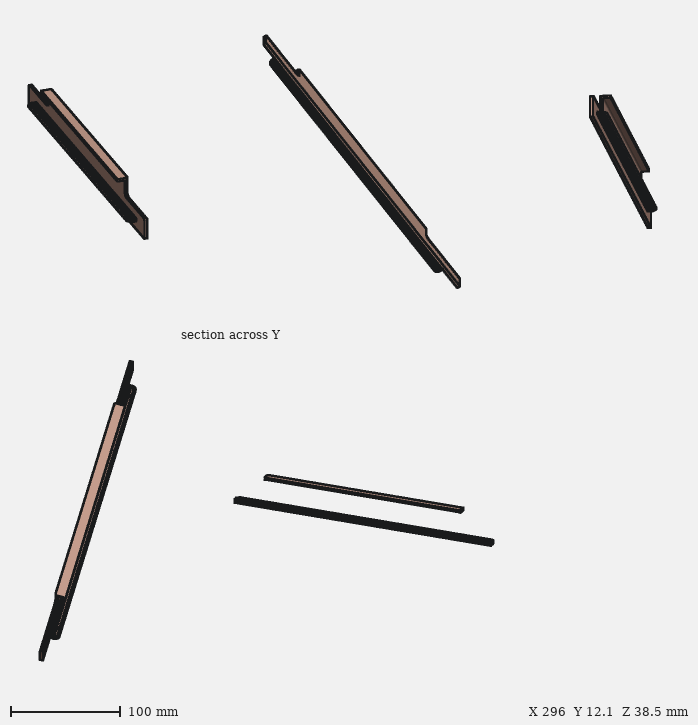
import cadquery as cq
import math

plate_length = 296.0
neck_length = 195.5
total_height = 38.5
shoulder_height = 20.5
plate_thickness = 3.0
shoulder_corner_radius = 2.0
neck_corner_radius = 4.0
back_chamfer = 1.0

lip_depth = 10.0
lip_thickness = 2.35
lip_root_radius = 0.8

total_depth = 12.1
tongue_length = 256.0
tongue_center_height = 10.2
barb_height = 3.5
core_height = 1.2
barb_crest_depths = [3.5, 5.5, 7.4]
nose_crest_depth = 10.0
nose_tip_radius = 1.1
tongue_corner_radius = 3.0

hole_diameter = 2.0
hole_spacing = 236.0
hole_depth = 8.5



def make_plate():
    """T-shaped plate, chamfered at the back along its shoulders and the sides of its neck."""
    half_plate = plate_length / 2
    half_neck = neck_length / 2
    outline = [
        (-half_plate, 0),
        (half_plate, 0),
        (half_plate, shoulder_height),
        (half_neck, shoulder_height),
        (half_neck, total_height),
        (-half_neck, total_height),
        (-half_neck, shoulder_height),
        (-half_plate, shoulder_height),
    ]
    plate = cq.Workplane("XZ").polyline(outline).close().extrude(plate_thickness)
    plate = round_corners(plate, half_neck, neck_corner_radius)
    plate = plate.faces(">Y").edges().filter(is_stepped_edge).chamfer(back_chamfer)
    return round_corners(plate, half_plate, shoulder_corner_radius)


def round_corners(plate, x, radius):
    """Round the pair of shoulder-height corners at -x and +x."""
    for side in (-1, 1):
        corner = cq.selectors.NearestToPointSelector((side * x, -plate_thickness / 2, shoulder_height))
        plate = plate.edges("|Y").edges(corner).fillet(radius)
    return plate


def is_stepped_edge(edge):
    """True for the shoulder, neck corner and neck side edges."""
    center = edge.Center()
    between_ends = abs(center.x) < plate_length / 2 - shoulder_corner_radius
    on_bottom_or_top = center.z < back_chamfer or center.z > total_height - back_chamfer
    return between_ends and not on_bottom_or_top


def make_lip():
    """Lip projecting forward from the top edge, with a rounded inner corner."""
    underside = total_height - lip_thickness
    return (
        cq.Workplane("YZ")
        .moveTo(-plate_thickness / 2, total_height)
        .lineTo(-lip_depth, total_height)
        .lineTo(-lip_depth, underside)
        .lineTo(-plate_thickness - lip_root_radius, underside)
        .radiusArc((-plate_thickness, underside - lip_root_radius), lip_root_radius)
        .lineTo(-plate_thickness / 2, underside - lip_root_radius)
        .close()
        .extrude(neck_length / 2, both=True)
    )


def nose_tangent_point(crest_height):
    """Point where the straight slope from the nose crest runs smoothly into the round tip."""
    center_depth = total_depth - nose_tip_radius
    crest_setback = center_depth - nose_crest_depth
    crest_angle = math.atan2(crest_height, -crest_setback)
    crest_distance = math.hypot(crest_height, crest_setback)
    angle = crest_angle - math.acos(nose_tip_radius / crest_distance)
    return (-center_depth - nose_tip_radius * math.cos(angle), nose_tip_radius * math.sin(angle))


def make_barbs():
    """Core strip whose barbs rise sharply at the back and slope down toward the front."""
    half_barb = barb_height / 2
    half_core = core_height / 2
    upper_side = [(-plate_thickness / 2, half_core)]
    for depth in barb_crest_depths:
        upper_side.append((-depth, half_core))
        upper_side.append((-depth, half_barb))
    upper_side.append((-nose_crest_depth, half_core))
    lower_side = [(y, -z) for y, z in reversed(upper_side)]
    strip = cq.Workplane("YZ").polyline(upper_side + lower_side).close().extrude(tongue_length / 2, both=True)
    rounded_plan = (
        cq.Workplane("XY")
        .rect(tongue_length, 2 * total_depth)
        .extrude(barb_height, both=True)
        .edges("|Z")
        .fillet(tongue_corner_radius)
    )
    return strip.intersect(rounded_plan)


def nose_profile():
    """Closed outline of the nose, with a stub of core reaching back to the corner axis."""
    half_barb = barb_height / 2
    half_core = core_height / 2
    axis_y = tongue_corner_radius - total_depth
    tangent_y, tangent_z = nose_tangent_point(half_barb)
    return (
        cq.Workplane("YZ")
        .moveTo(axis_y, half_core)
        .lineTo(-nose_crest_depth, half_core)
        .lineTo(-nose_crest_depth, half_barb)
        .lineTo(tangent_y, tangent_z)
        .threePointArc((-total_depth, 0), (tangent_y, -tangent_z))
        .lineTo(-nose_crest_depth, -half_barb)
        .lineTo(-nose_crest_depth, -half_core)
        .lineTo(axis_y, -half_core)
        .close()
    )


def make_nose():
    """Round-tipped nose in front of the barbs, turned through a quarter circle at each end."""
    half_straight = tongue_length / 2 - tongue_corner_radius
    nose = nose_profile().extrude(half_straight, both=True)
    axis_y = tongue_corner_radius - total_depth
    right_end = nose_profile().revolve(90, (axis_y, 0), (axis_y, 1)).translate((half_straight, 0, 0))
    return nose.union(right_end).union(right_end.mirror("YZ"))


def make_tongue():
    """Barbed tongue with a hole near each end."""
    holes = (
        cq.Workplane("XY")
        .pushPoints([(-hole_spacing / 2, -hole_depth), (hole_spacing / 2, -hole_depth)])
        .circle(hole_diameter / 2)
        .extrude(barb_height, both=True)
    )
    tongue = make_barbs().union(make_nose()).cut(holes)
    return tongue.translate((0, 0, tongue_center_height))


result = make_plate().union(make_lip()).union(make_tongue())